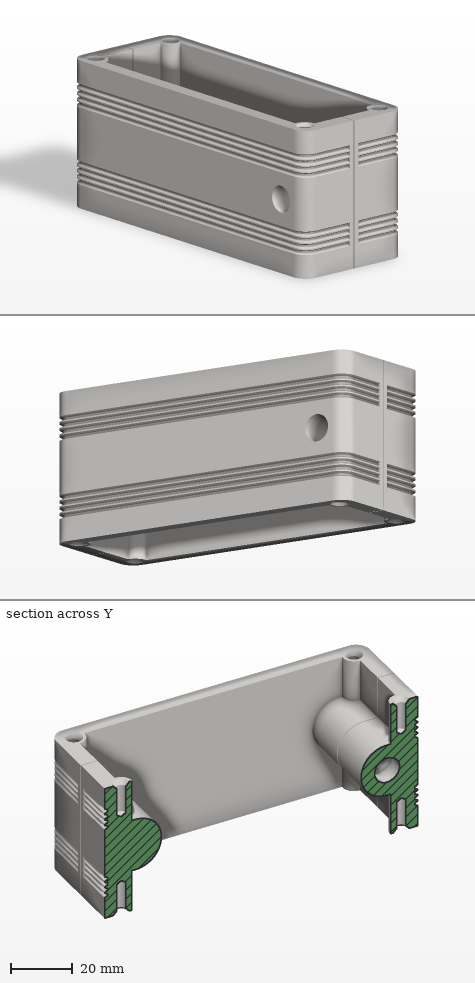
import cadquery as cq
import math

length = 116.0
width = 43.0
height = 50.0
seam_gap = 0.3
corner_radius = 5.0
side_wall = 5.0
end_wall = 6.0

groove_count = 4
groove_pitch = 2.1
groove_opening = 1.6
groove_floor = 0.6
groove_depth = 1.0
band_inset = 8.0
groove_end = 1.9

boss_radius = 9.7
boss_inset = 11.4
head_radius = 4.5
head_depth = 11.6
bolt_radius = 2.5
thread_depth = 11.6

post_radius = 4.1
post_inset_x = 6.1
post_inset_y = 5.6
screw_radius = 1.6
screw_depth = 11.6
sink_radius = 3.0
sink_depth = 1.5

drill_tip_angle = 118.0

half_length = length / 2
half_width = width / 2
half_height = height / 2
seam_y = seam_gap / 2
boss_x = half_length - boss_inset
post_x = half_length - post_inset_x
post_y = half_width - post_inset_y


def drill_tip_height(radius):
    """Height of the conical end of a drilled hole."""
    return radius / math.tan(math.radians(drill_tip_angle / 2))


def outer_block():
    """Solid block with the rounded outline of the complete housing."""
    block = cq.Workplane("XY").box(length, width, height)
    return block.edges("|Z").fillet(corner_radius)


def cavity():
    """Straight opening through the housing from rim to rim."""
    return cq.Workplane("XY").box(length - 2 * end_wall, width - 2 * side_wall, height)


def boss(side):
    """Round boss along Y, joined to the end wall; side is -1 or +1."""
    barrel = cq.Workplane("XZ").center(side * boss_x, 0).circle(boss_radius).extrude(half_width, both=True)
    web = cq.Workplane("XY").box(boss_inset, width, 2 * boss_radius)
    return barrel.union(web.translate((side * (boss_x + boss_inset / 2), 0, 0)))


def posts():
    """Four corner posts over the full height."""
    bottom = cq.Workplane("XY", origin=(0, 0, -half_height))
    corners = bottom.rect(2 * post_x, 2 * post_y, forConstruction=True)
    return corners.vertices().circle(post_radius).extrude(height)


def front_half_space():
    """Everything in front of the seam gap."""
    depth = half_width - seam_y
    return cq.Workplane("XY").box(length, depth, height).translate((0, -(seam_y + depth / 2), 0))


def groove(z):
    """Trapezoidal groove around the front half at height z."""
    path = (
        cq.Workplane("XY", origin=(0, 0, z))
        .moveTo(-half_length, -groove_end)
        .lineTo(-half_length, -half_width + corner_radius)
        .radiusArc((-half_length + corner_radius, -half_width), -corner_radius)
        .lineTo(half_length - corner_radius, -half_width)
        .radiusArc((half_length, -half_width + corner_radius), -corner_radius)
        .lineTo(half_length, -groove_end)
    )
    profile = (
        cq.Workplane("XZ", origin=(-half_length, -groove_end, z))
        .moveTo(0, -groove_opening / 2)
        .lineTo(groove_depth, -groove_floor / 2)
        .lineTo(groove_depth, groove_floor / 2)
        .lineTo(0, groove_opening / 2)
        .close()
    )
    return profile.sweep(path)


def screw_hole(x):
    """Countersunk blind hole down into the front post at x."""
    tip = drill_tip_height(screw_radius)
    profile = (
        cq.Workplane("XZ")
        .lineTo(sink_radius, 0)
        .lineTo(screw_radius, -sink_depth)
        .lineTo(screw_radius, -screw_depth)
        .lineTo(0, -screw_depth - tip)
        .close()
    )
    return profile.revolve(360, (0, 0, 0), (0, 1, 0)).translate((x, -post_y, half_height))


def clearance_hole():
    """Counterbored bolt hole through the +X boss, entered from the front."""
    front = cq.Workplane("XZ", origin=(boss_x, -half_width, 0))
    shank = front.circle(bolt_radius).extrude(-half_width)
    return shank.union(front.circle(head_radius).extrude(-head_depth))


def threaded_hole():
    """Blind hole with a drill tip in the -X boss, entered from the seam."""
    tip = drill_tip_height(bolt_radius)
    profile = (
        cq.Workplane("XY")
        .lineTo(bolt_radius, 0)
        .lineTo(bolt_radius, -thread_depth)
        .lineTo(0, -thread_depth - tip)
        .close()
    )
    return profile.revolve(360, (0, 0, 0), (0, 1, 0)).translate((-boss_x, -seam_y, 0))


def housing_half():
    """Front half of the housing."""
    block = outer_block()
    inside = posts()
    for side in (-1, 1):
        inside = inside.union(boss(side))
    half = block.cut(cavity()).union(inside.intersect(block)).intersect(front_half_space())

    first_groove = half_height - band_inset - groove_opening / 2
    for level in range(groove_count):
        z = first_groove - level * groove_pitch
        half = half.cut(groove(z)).cut(groove(-z))

    for side in (-1, 1):
        hole = screw_hole(side * post_x)
        half = half.cut(hole).cut(hole.mirror("XY"))
    return half.cut(clearance_hole()).cut(threaded_hole())


front_half = housing_half().solids()
halves = []
for turn in (0, 180):
    turned_half = front_half.rotate((0, 0, 0), (0, 0, 1), turn)
    halves.append(turned_half.val())

result = cq.Compound.makeCompound(halves)